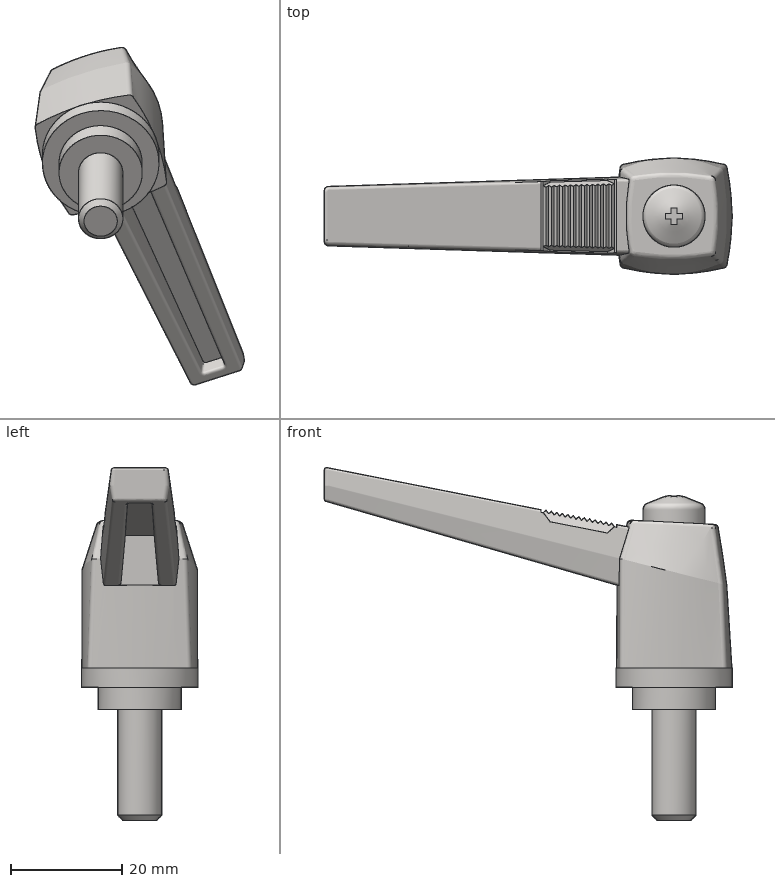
import cadquery as cq
import math


STUD_DIAMETER = 8.0
STUD_LENGTH = 20.0
STUD_CHAMFER = 1.0
COLLAR_DIAMETER = 15.0
COLLAR_HEIGHT = 4.0
FLANGE_DIAMETER = 21.0
FLANGE_TOP = 7.5

PARTING_HEIGHT = 24.75
PARTING_SLOPE = -0.25

HUB_TOP_HEIGHT = 33.75
HUB_TOP_SLOPE = -0.05
HUB_TOP_FILLET = 0.88
HUB_CORNER_RADIUS = 0.9

HUB_BOTTOM_SECTION = (-9.75, -10.37, 9.6, 10.45, 9.4, 10.45)
HUB_PARTING_SECTION = (-9.7, -10.3, 8.95, 9.6, 8.7, 10.45)
HUB_TOP_SECTION = (-7.7, -8.3, 7.4, 7.95, 7.15, 7.65)

BUTTON_DIAMETER = 11.2
BUTTON_ROUND_BOTTOM = 36.0
BUTTON_CONE_DIAMETER = 10.0
BUTTON_CONE_BOTTOM = 37.1
BUTTON_DOME_DIAMETER = 5.5
BUTTON_DOME_BOTTOM = 38.0
BUTTON_TOP = 38.65
CROSS_SPAN = 3.0
CROSS_ARM_WIDTH = 1.0
CROSS_DEPTH = 1.0

TIP_X = -63.0
ROOT_X = -7.0
TIP_TOP = 43.71
TOP_SLOPE = -0.197
TIP_BOTTOM = 37.6
BOTTOM_SLOPE = -0.288
TOP_HALF_WIDTHS = (5.1, 6.65)
PARTING_HALF_WIDTHS = (5.35, 7.15)
BOTTOM_HALF_WIDTHS = (4.85, 6.6)
LEVER_EDGE_FILLET = 0.5
TIP_CORNER_FILLET = 0.8

CHANNEL_START_X = -61.0
CHANNEL_END_X = -10.4
CHANNEL_ROOF_THICKNESS = 2.0
CHANNEL_RIM_HALF_WIDTHS = (2.2, 3.4)
CHANNEL_ROOF_HALF_WIDTHS = (1.9, 2.6)
CHANNEL_CORNER_FILLET = 0.5

TOOTH_COUNT = 13
TOOTH_PITCH = 0.985
TOOTH_PEAK = 0.1
TOOTH_VALLEY = 0.45
GRIP_START_X = -23.95
GRIP_MARGIN = 0.4
GRIP_END_X = GRIP_START_X + TOOTH_COUNT * TOOTH_PITCH + 2 * GRIP_MARGIN
GRIP_CLEARANCE = 3.0
GRIP_FLAT_DEPTH = 1.85
GRIP_FLAT_END_INSET = 1.65
GRIP_PEAK_INSET = 1.0
GRIP_VALLEY_INSET = 0.7
GRIP_FLAT_INSET = 0.1


def parting_z(x):
    return PARTING_HEIGHT + PARTING_SLOPE * x


def hub_top_z(x):
    return HUB_TOP_HEIGHT + HUB_TOP_SLOPE * x


def lever_top_z(x):
    return TIP_TOP + TOP_SLOPE * (x - TIP_X)


def lever_bottom_z(x):
    return TIP_BOTTOM + BOTTOM_SLOPE * (x - TIP_X)


def flange_top_z(x):
    return FLANGE_TOP


def hub_wire(section, height_at):
    """Bulged square with rounded corners, laid on the plane z = height_at(x)."""
    left, left_bulge, right, right_bulge, side, side_bulge = section
    r = HUB_CORNER_RADIUS
    cut = r * (1 - math.sqrt(0.5))
    middle = (left + right) / 2

    def on_plane(x, y):
        return cq.Vector(x, y, height_at(x))

    arcs = [
        ((left + r, -side), (middle, -side_bulge), (right - r, -side)),
        ((right - r, -side), (right - cut, -side + cut), (right, -side + r)),
        ((right, -side + r), (right_bulge, 0), (right, side - r)),
        ((right, side - r), (right - cut, side - cut), (right - r, side)),
        ((right - r, side), (middle, side_bulge), (left + r, side)),
        ((left + r, side), (left + cut, side - cut), (left, side - r)),
        ((left, side - r), (left_bulge, 0), (left, -side + r)),
        ((left, -side + r), (left + cut, -side + cut), (left + r, -side)),
    ]
    edges = [cq.Edge.makeThreePointArc(*[on_plane(*point) for point in arc]) for arc in arcs]
    return cq.Wire.assembleEdges(edges)


def ruled_solid(*wires):
    return cq.Workplane(obj=cq.Solid.makeLoft(list(wires), True))


def make_hub():
    bottom = hub_wire(HUB_BOTTOM_SECTION, flange_top_z)
    parting = hub_wire(HUB_PARTING_SECTION, parting_z)
    top = hub_wire(HUB_TOP_SECTION, hub_top_z)
    upper = ruled_solid(parting, top).faces(">Z").edges().fillet(HUB_TOP_FILLET)
    return ruled_solid(bottom, parting).union(upper)


def make_base():
    stud = (
        cq.Workplane("XY")
        .circle(STUD_DIAMETER / 2)
        .extrude(-STUD_LENGTH)
        .faces("<Z")
        .chamfer(STUD_CHAMFER)
    )
    collar = cq.Workplane("XY").circle(COLLAR_DIAMETER / 2).extrude(COLLAR_HEIGHT)
    flange = (
        cq.Workplane("XY", origin=(0, 0, COLLAR_HEIGHT))
        .circle(FLANGE_DIAMETER / 2)
        .extrude(FLANGE_TOP - COLLAR_HEIGHT)
    )
    return stud.union(collar).union(flange)


def make_button():
    """Revolved button that starts inside the hub, with a cross recess in its dome."""
    radius = BUTTON_DIAMETER / 2
    dome_radius = BUTTON_DOME_DIAMETER / 2
    dome_rise = BUTTON_TOP - BUTTON_DOME_BOTTOM
    sphere_radius = (dome_radius**2 + dome_rise**2) / (2 * dome_rise)
    half_radius = dome_radius / 2
    half_height = BUTTON_TOP - sphere_radius + math.sqrt(sphere_radius**2 - half_radius**2)
    button = (
        cq.Workplane("XZ")
        .moveTo(0, PARTING_HEIGHT)
        .lineTo(radius, PARTING_HEIGHT)
        .lineTo(radius, BUTTON_ROUND_BOTTOM)
        .tangentArcPoint((BUTTON_CONE_DIAMETER / 2, BUTTON_CONE_BOTTOM), relative=False)
        .lineTo(dome_radius, BUTTON_DOME_BOTTOM)
        .threePointArc((half_radius, half_height), (0, BUTTON_TOP))
        .close()
        .revolve(360, (0, 0, 0), (0, 1, 0))
    )
    cross = (
        cq.Workplane("XY", origin=(0, 0, BUTTON_TOP))
        .rect(CROSS_SPAN, CROSS_ARM_WIDTH)
        .extrude(-CROSS_DEPTH)
        .union(
            cq.Workplane("XY", origin=(0, 0, BUTTON_TOP))
            .rect(CROSS_ARM_WIDTH, CROSS_SPAN)
            .extrude(-CROSS_DEPTH)
        )
    )
    return button.cut(cross)


def tapered_solid(start_x, end_x, lower, upper):
    """Trapezoid section run along the lever; each bound is (height function, end half widths)."""
    wires = []
    for index, x in enumerate((start_x, end_x)):
        corners = []
        for (height_at, half_widths), sides in ((lower, (-1, 1)), (upper, (1, -1))):
            for side in sides:
                corners.append(cq.Vector(x, side * half_widths[index], height_at(x)))
        wires.append(cq.Wire.makePolygon(corners, close=True))
    return ruled_solid(*wires)


def from_lever_top(rise):
    """Height function for a plane that lies above the lever top by rise."""
    return lambda x: lever_top_z(x) + rise


def make_channel():
    rim = (lever_bottom_z, CHANNEL_RIM_HALF_WIDTHS)
    roof = (from_lever_top(-CHANNEL_ROOF_THICKNESS), CHANNEL_ROOF_HALF_WIDTHS)
    channel = tapered_solid(CHANNEL_START_X, CHANNEL_END_X, rim, roof)
    return channel.faces("<X").edges("not |Y").fillet(CHANNEL_CORNER_FILLET)


def make_lever_body():
    bottom = (lever_bottom_z, BOTTOM_HALF_WIDTHS)
    parting = (parting_z, PARTING_HALF_WIDTHS)
    top = (lever_top_z, TOP_HALF_WIDTHS)
    lower_half = tapered_solid(TIP_X, ROOT_X, bottom, parting)
    upper_half = tapered_solid(TIP_X, ROOT_X, parting, top)
    body = lower_half.union(upper_half)
    body = body.faces("<X").edges("not |Y").fillet(TIP_CORNER_FILLET)
    body = body.faces(">Z").edges("not >X").fillet(LEVER_EDGE_FILLET)
    body = body.cut(make_channel())
    middle_x = (TIP_X + ROOT_X) / 2
    bottom_face = cq.selectors.NearestToPointSelector((middle_x, 0, lever_bottom_z(middle_x)))
    end_edges = cq.selectors.BoxSelector(
        (CHANNEL_END_X - LEVER_EDGE_FILLET, -1, 0), (0, 1, HUB_TOP_HEIGHT)
    )
    return body.faces(bottom_face).edges(-end_edges).fillet(LEVER_EDGE_FILLET)


def across_lever(outline):
    """Prism through the full lever width from (x, rise above the lever top) points."""
    points = [(x, lever_top_z(x) + rise) for x, rise in outline]
    return cq.Workplane("XZ").polyline(points).close().extrude(FLANGE_DIAMETER / 2, both=True)


def make_grip_groove():
    """Cut outline that leaves a row of triangular teeth in the lever top."""
    outline = [(GRIP_START_X, GRIP_CLEARANCE), (GRIP_START_X, -TOOTH_VALLEY)]
    first_valley_x = GRIP_START_X + GRIP_MARGIN
    for index in range(TOOTH_COUNT):
        valley_x = first_valley_x + index * TOOTH_PITCH
        outline.append((valley_x, -TOOTH_VALLEY))
        outline.append((valley_x + TOOTH_PITCH / 2, TOOTH_PEAK))
    outline.append((GRIP_END_X - GRIP_MARGIN, -TOOTH_VALLEY))
    outline.append((GRIP_END_X, -TOOTH_VALLEY))
    outline.append((GRIP_END_X, GRIP_CLEARANCE))
    return across_lever(outline)


def grip_bound(rise, inset):
    """Trapezoid bound at a rise above the lever top, narrowed by inset on each side."""
    return from_lever_top(rise), [width - inset for width in TOP_HALF_WIDTHS]


def make_grip_flats():
    """Cutter for the drafted flats beside the grip and the steeper bevels on the tooth ends."""
    outline = [
        (GRIP_START_X, GRIP_CLEARANCE),
        (GRIP_START_X, 0),
        (GRIP_START_X + GRIP_FLAT_END_INSET, -GRIP_FLAT_DEPTH),
        (GRIP_END_X - GRIP_FLAT_END_INSET, -GRIP_FLAT_DEPTH),
        (GRIP_END_X, 0),
        (GRIP_END_X, GRIP_CLEARANCE),
    ]
    flat_edge = grip_bound(-GRIP_FLAT_DEPTH, GRIP_FLAT_INSET)
    valley_edge = grip_bound(-TOOTH_VALLEY, GRIP_VALLEY_INSET)
    peak_edge = grip_bound(TOOTH_PEAK, GRIP_PEAK_INSET)
    kept_flats = tapered_solid(TIP_X, ROOT_X, flat_edge, valley_edge)
    kept_teeth = tapered_solid(TIP_X, ROOT_X, valley_edge, peak_edge)
    return across_lever(outline).cut(kept_flats).cut(kept_teeth)


def make_lever():
    pad = across_lever(
        [
            (GRIP_START_X, 0),
            (GRIP_END_X, 0),
            (GRIP_END_X, TOOTH_PEAK),
            (GRIP_START_X, TOOTH_PEAK),
        ]
    )
    body = make_lever_body().union(pad)
    return body.cut(make_grip_groove()).cut(make_grip_flats())


result = make_base().union(make_hub()).union(make_button()).union(make_lever())